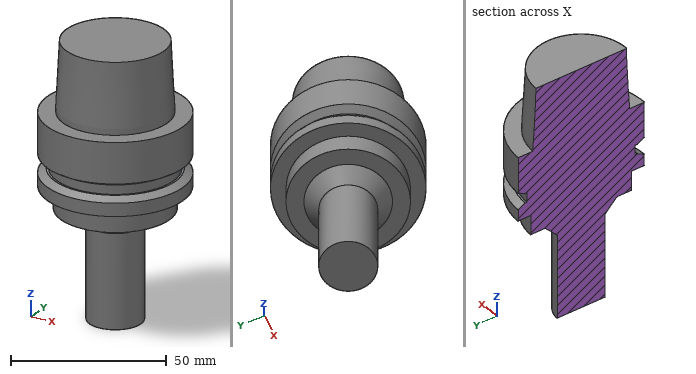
import cadquery as cq

total_height = 97.5

shank_diameter = 19.0
cone_top_diameter = 28.5
collar_diameter = 40.0
flange_diameter = 50.0
groove_diameter = 43.0
groove_mouth_diameter = 44.5
taper_base_diameter = 38.3
taper_top_diameter = 36.0

shank_length = 33.7
cone_height = 5.0
collar_height = 7.8
lower_flange_height = 4.7
chamfer_height = 1.6
groove_width = 3.6
upper_flange_height = 14.5
taper_base_height = 2.0

cone_top = shank_length + cone_height
collar_top = cone_top + collar_height
lower_flange_edge = collar_top + lower_flange_height
groove_bottom = lower_flange_edge + chamfer_height
groove_top = groove_bottom + groove_width
upper_flange_edge = groove_top + chamfer_height
flange_top = upper_flange_edge + upper_flange_height
taper_bottom = flange_top + taper_base_height

profile = [
    (shank_diameter, 0),
    (shank_diameter, shank_length),
    (cone_top_diameter, cone_top),
    (collar_diameter, cone_top),
    (collar_diameter, collar_top),
    (flange_diameter, collar_top),
    (flange_diameter, lower_flange_edge),
    (groove_mouth_diameter, groove_bottom),
    (groove_diameter, groove_bottom),
    (groove_diameter, groove_top),
    (groove_mouth_diameter, groove_top),
    (flange_diameter, upper_flange_edge),
    (flange_diameter, flange_top),
    (taper_base_diameter, flange_top),
    (taper_base_diameter, taper_bottom),
    (taper_top_diameter, total_height),
]

outline = [(0, 0)]
outline += [(diameter / 2, level) for diameter, level in profile]
outline += [(0, total_height)]

result = cq.Workplane("XZ").polyline(outline).close().revolve(360, (0, 0), (0, 1))